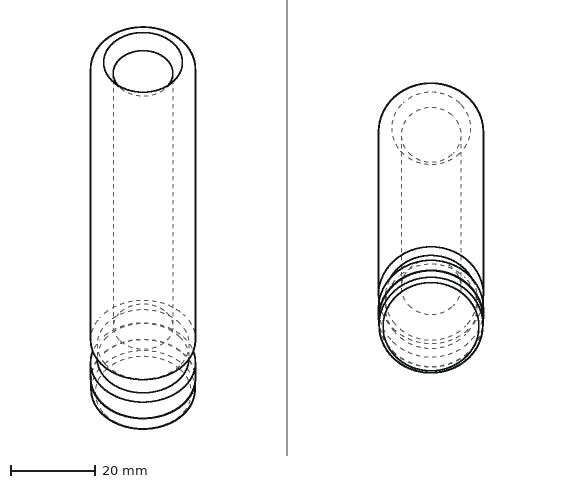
import cadquery as cq
import math

length = 120.0
body_radius = 12.5
top_round = 2.5

lead_radius = 12.4
lead_length = 4.9
lead_chamfer = 1.0

groove_depth = 1.5
groove_bottom = 10.9
groove_floor_width = 5.0

bore_radius = 7.1
bore_depth = 96.0
mouth_radius = 9.4
mouth_half_angle = 30.0
drill_point_half_angle = 59.0


def cone_height(radial_change, half_angle):
    """Axial height of a cone from its change in radius and its half angle."""
    return radial_change / math.tan(math.radians(half_angle))


def make_body():
    """Cylinder with a rounded top edge, standing on a chamfered lead-in."""
    lead = cq.Workplane("XY").circle(lead_radius).extrude(lead_length)
    lead = lead.faces("<Z").edges().chamfer(lead_chamfer)
    shank = cq.Workplane("XY").workplane(offset=lead_length).circle(body_radius).extrude(length - lead_length)
    shank = shank.faces(">Z").edges().fillet(top_round)
    return shank.union(lead)


def make_groove():
    """Ring that removes the trapezoidal groove."""
    floor_radius = body_radius - groove_depth
    floor_start = groove_bottom + groove_depth
    floor_end = floor_start + groove_floor_width
    groove_profile = [
        (body_radius, groove_bottom),
        (floor_radius, floor_start),
        (floor_radius, floor_end),
        (body_radius, floor_end + groove_depth),
    ]
    return cq.Workplane("XZ").polyline(groove_profile).close().revolve(360, (0, 0), (0, 1))


def make_bore():
    """Tapered mouth, straight bore and conical floor as one cutting solid."""
    bore_end = length - bore_depth
    mouth_end = length - cone_height(mouth_radius - bore_radius, mouth_half_angle)
    point_tip = bore_end - cone_height(bore_radius, drill_point_half_angle)
    bore_profile = [
        (0, length),
        (mouth_radius, length),
        (bore_radius, mouth_end),
        (bore_radius, bore_end),
        (0, point_tip),
    ]
    return cq.Workplane("XZ").polyline(bore_profile).close().revolve(360, (0, 0), (0, 1))


result = make_body().cut(make_groove()).cut(make_bore())